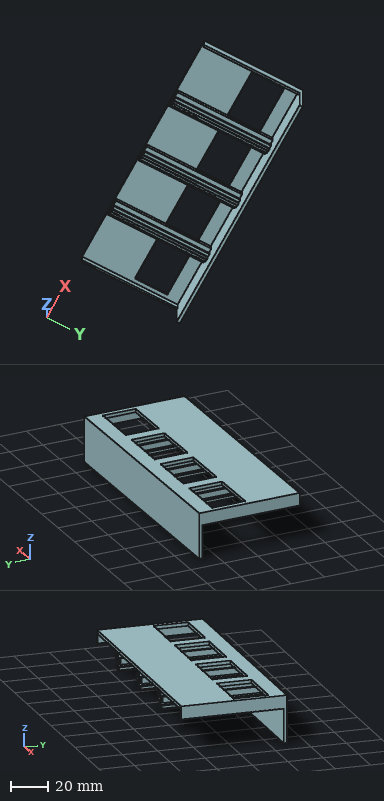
import cadquery as cq

length = 140.0
depth = 60.0
height = 27.0

plate_thickness = 2.0
wall_thickness = 2.0
skirt_thickness = 1.2
skirt_drop = 7.5

bay_count = 4
bay_pitch = length / bay_count
window_length = 28.0
window_depth = 19.5
window_back_margin = 9.5

rail_thickness = 1.5
hook_width = 9.0
hook_lip_drop = 4.0
hook_bottom_drop = 7.5
crossbar_width = 5.0
crossbar_drop = 9.75
rail_drop = 12.5

rail_length = depth - wall_thickness


def box(x_start, y_start, z_start, x_size, y_size, z_size):
    """Box placed by its lowest corner."""
    return cq.Workplane("XY").box(x_size, y_size, z_size, centered=False).translate((x_start, y_start, z_start))


def make_shell():
    """Top plate with a full-height back wall and a short skirt at each end."""
    shell = box(0, 0, height - plate_thickness, length, depth, plate_thickness)
    shell = shell.union(box(0, depth - wall_thickness, 0, length, wall_thickness, height))
    for x_start in (0, length - skirt_thickness):
        shell = shell.union(box(x_start, 0, height - skirt_drop, skirt_thickness, depth, skirt_drop))
    return shell


def rail_bar(x_center, width, top_drop, bottom_drop):
    """Full-length bar of a rail, centred on x_center between two drops."""
    return box(x_center - width / 2, 0, height - bottom_drop, width, rail_length, bottom_drop - top_drop)


def make_rail(x_center):
    """Rail with a central web, a pair of upturned hooks and a crossbar near its foot."""
    web = rail_bar(x_center, rail_thickness, plate_thickness, rail_drop)
    hook_floor = rail_bar(x_center, hook_width, hook_bottom_drop - rail_thickness, hook_bottom_drop)
    crossbar = rail_bar(x_center, crossbar_width, crossbar_drop, crossbar_drop + rail_thickness)
    rail = web.union(hook_floor).union(crossbar)
    lip_offset = (hook_width - rail_thickness) / 2
    for side in (-1, 1):
        lip_center = x_center + side * lip_offset
        rail = rail.union(rail_bar(lip_center, rail_thickness, hook_lip_drop, hook_bottom_drop))
    return rail


def make_window(x_center):
    """Cutter for one rectangular window through the top plate only."""
    y_start = depth - window_back_margin - window_depth
    z_start = height - plate_thickness
    return box(x_center - window_length / 2, y_start, z_start, window_length, window_depth, plate_thickness)


result = make_shell()
for bay in range(bay_count):
    result = result.cut(make_window((bay + 0.5) * bay_pitch))
for boundary in range(1, bay_count):
    result = result.union(make_rail(boundary * bay_pitch))